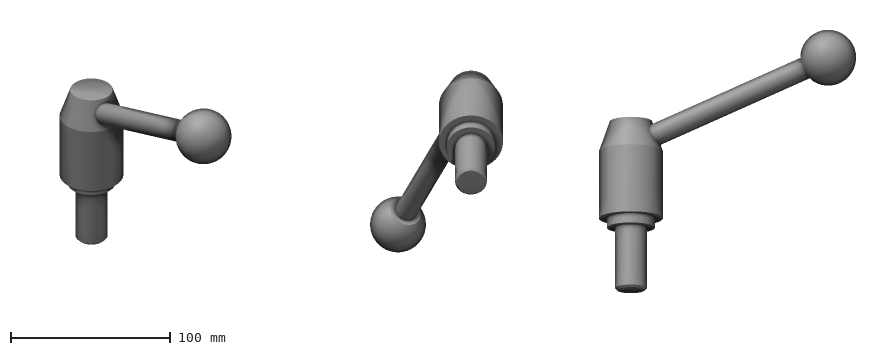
import cadquery as cq
import math

overall_length = 167.3
overall_height = 157.3

stud_diameter = 19.9
stud_length = 40.0
stud_chamfer = 1.3
collar_diameter = 30.0
collar_height = 6.0
body_diameter = 40.0
body_height = 43.0
cone_top_diameter = 26.6
cone_height = 19.0

lever_angle = 20.0
arm_diameter = 14.0
ball_diameter = 35.0
ball_flat_diameter = 19.9

collar_base = stud_length
body_base = collar_base + collar_height
cone_base = body_base + body_height
ball_radius = ball_diameter / 2
ball_x = overall_length - body_diameter / 2 - ball_radius
ball_z = overall_height - ball_radius
lever_slope = math.radians(lever_angle)
arm_length = ball_x / math.cos(lever_slope)
flat_distance = math.sqrt(ball_radius**2 - (ball_flat_diameter / 2)**2)


def disc(diameter, height, base):
    return cq.Workplane("XY").workplane(offset=base).circle(diameter / 2).extrude(height)


def make_hub():
    stud = disc(stud_diameter, stud_length, 0).faces("<Z").chamfer(stud_chamfer)
    collar = disc(collar_diameter, collar_height, collar_base)
    body = disc(body_diameter, body_height, body_base)
    cone = cq.Workplane(cq.Solid.makeCone(
        body_diameter / 2, cone_top_diameter / 2, cone_height, cq.Vector(0, 0, cone_base)
    ))
    return stud.union(collar).union(body).union(cone)


def make_lever():
    outward = (math.cos(lever_slope), 0, math.sin(lever_slope))
    ball_plane = cq.Plane(origin=(ball_x, 0, ball_z), xDir=(0, 1, 0), normal=outward)
    arm = cq.Workplane(ball_plane).circle(arm_diameter / 2).extrude(-arm_length)
    flat_cut = (
        cq.Workplane(ball_plane)
        .workplane(offset=-flat_distance)
        .circle(ball_radius)
        .extrude(-ball_radius)
    )
    ball = cq.Workplane(ball_plane).sphere(ball_radius).cut(flat_cut)
    return arm.union(ball)


result = make_hub().union(make_lever())